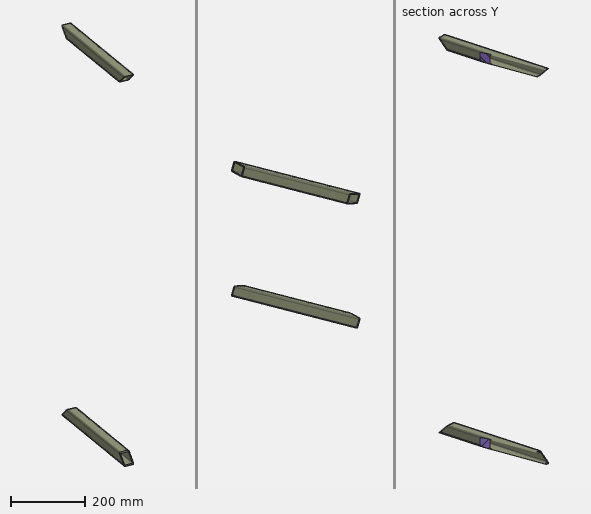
import cadquery as cq

OVERALL_HEIGHT = 1174.0
TUBE_LENGTH = 351.0
FLAT_WIDTH = 23.0
CORNER_RADIUS = 3.3
WALL = 2.9
YAW = -5.0

TUBE_SIZE = FLAT_WIDTH + 2 * CORNER_RADIUS
INNER_SIZE = TUBE_SIZE - 2 * WALL
INNER_RADIUS = CORNER_RADIUS - WALL


def rounded_bar(size, radius):
    """Square bar along X with rounded long edges, centred on the origin."""
    bar = cq.Workplane("YZ").rect(size, size).extrude(TUBE_LENGTH / 2, both=True)
    return bar.edges("|X").fillet(radius)


def mitre_envelope():
    """Trapezoid block whose ends lean inward at 45 degrees from the long lower face."""
    half_length = TUBE_LENGTH / 2
    half_size = TUBE_SIZE / 2
    outline = [
        (-half_length, -half_size),
        (half_length, -half_size),
        (half_length - TUBE_SIZE, half_size),
        (-half_length + TUBE_SIZE, half_size),
    ]
    return cq.Workplane("XZ").polyline(outline).close().extrude(TUBE_SIZE, both=True)


def lower_rail():
    """Mitred square tube with its long face at the bottom of the frame."""
    tube = rounded_bar(TUBE_SIZE, CORNER_RADIUS).cut(rounded_bar(INNER_SIZE, INNER_RADIUS))
    tube = tube.intersect(mitre_envelope())
    tube = tube.rotate((0, 0, 0), (0, 0, 1), YAW)
    return tube.translate((0, 0, (TUBE_SIZE - OVERALL_HEIGHT) / 2))


rails = [lower_rail(), lower_rail().mirror("XY")]

result = cq.Compound.makeCompound([rail.val() for rail in rails])